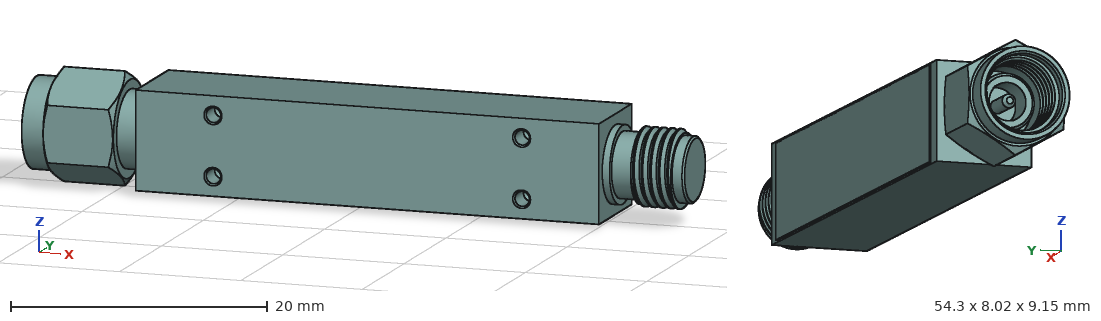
import cadquery as cq
import math


NUT_COLLAR_END = 1.85
NUT_END = 7.65
HOUSING_START = 9.5
HOUSING_END = 47.65
FLANGE_END = 48.25
THREAD_START = 49.9
THREAD_END = 53.25
OVERALL_LENGTH = 54.25

HOUSING_DEPTH = 7.85
HOUSING_HEIGHT = 8.0
HOUSING_CENTER_X = (HOUSING_START + HOUSING_END) / 2
LABEL_INSET = 1.3
LABEL_THICKNESS = 0.135
LABEL_EDGE_MARGIN = 0.15

HOLE_DIAMETER = 1.2
HOLE_RIM_DIAMETER = 1.45
HOLE_DEPTH = 2.15
HOLE_TIP_ANGLE = 118.0
HOLE_SPACING_Z = 4.9
HOLE_SPACING_X = 25.45

THREAD_PITCH = 0.7
THREAD_ROOT_RADIUS = 2.8
THREAD_CREST_RADIUS = 3.15
THREAD_BASE_WIDTH = 0.68
THREAD_OVERLAP = 0.05
JACK_THREAD_TURNS = 6
NUT_THREAD_TURNS = 5

HEX_ACROSS_CORNERS = 9.15
HEX_CHAMFER_ANGLE = 30.0
HEX_FACE_RADIUS = 3.9
NUT_COLLAR_RADIUS = 3.7
NUT_MOUTH_RADIUS = 3.15
NUT_MOUTH_CHAMFER = 0.15
NUT_MOUTH_DEPTH = 0.9
NUT_BORE_END = 6.5

NECK_RADIUS = 3.15
SLEEVE_RADIUS = 2.3
SLEEVE_BORE_RADIUS = 1.5
SLEEVE_START = 4.05
SLEEVE_CHAMFER = 0.2
SLEEVE_BORE_END = 6.5
PIN_RADIUS = 0.55
PIN_START = 3.5
PIN_CHAMFER = 0.25

BARREL_RADIUS = 2.65
BARREL_CHAMFER = 0.15


def rod(start, end, radius):
    """Cylinder on the X axis between two stations."""
    return cq.Workplane("YZ").workplane(offset=start).circle(radius).extrude(end - start)


def revolved(points):
    """Solid of revolution about X from (station, radius) points."""
    return cq.Workplane("XY").polyline(points).close().revolve(360, (0, 0, 0), (1, 0, 0))


def helical_cutter(base_radius, tip_radius, start, turns):
    """Right-handed helix about X with a V section that narrows from the base radius to the tip radius."""
    half_base = THREAD_BASE_WIDTH / 2
    helix = cq.Wire.makeHelix(THREAD_PITCH, THREAD_PITCH * turns, base_radius)
    cutter = (
        cq.Workplane("XZ")
        .polyline([
            (base_radius, -half_base),
            (tip_radius, 0),
            (base_radius, half_base),
        ])
        .close()
        .sweep(cq.Workplane(helix), isFrenet=True)
    )
    return cutter.rotate((0, 0, 0), (1, 1, 1), 120).translate((start, 0, 0))


def make_housing():
    length = HOUSING_END - HOUSING_START
    block = cq.Workplane("XY").box(length, HOUSING_DEPTH, HOUSING_HEIGHT).translate((HOUSING_CENTER_X, 0, 0))
    radius = HOLE_DIAMETER / 2
    rim_radius = HOLE_RIM_DIAMETER / 2
    tip_depth = HOLE_DEPTH + radius / math.tan(math.radians(HOLE_TIP_ANGLE / 2))
    drill = (
        cq.Workplane("XY")
        .polyline([
            (0, 0),
            (rim_radius, 0),
            (radius, rim_radius - radius),
            (radius, HOLE_DEPTH),
            (0, tip_depth),
        ])
        .close()
        .revolve(360, (0, 0, 0), (0, 1, 0))
        .translate((HOUSING_CENTER_X, -HOUSING_DEPTH / 2, 0))
    )
    for side_x in (-1, 1):
        for side_z in (-1, 1):
            offset = (side_x * HOLE_SPACING_X / 2, 0, side_z * HOLE_SPACING_Z / 2)
            block = block.cut(drill.translate(offset))
    return block


def make_label():
    length = HOUSING_END - HOUSING_START - 2 * LABEL_INSET
    height = HOUSING_HEIGHT - 2 * LABEL_EDGE_MARGIN
    center_y = (HOUSING_DEPTH + LABEL_THICKNESS) / 2
    return cq.Workplane("XY").box(length, LABEL_THICKNESS, height).translate((HOUSING_CENTER_X, center_y, 0))


def make_nut():
    corner_radius = HEX_ACROSS_CORNERS / 2
    hexagon = (
        cq.Workplane("YZ")
        .workplane(offset=NUT_COLLAR_END)
        .polygon(6, HEX_ACROSS_CORNERS)
        .extrude(NUT_END - NUT_COLLAR_END)
        .rotate((0, 0, 0), (1, 0, 0), 90)
    )
    chamfer_length = (corner_radius - HEX_FACE_RADIUS) * math.tan(math.radians(HEX_CHAMFER_ANGLE))
    chamfer_envelope = revolved([
        (NUT_COLLAR_END, 0),
        (NUT_COLLAR_END, HEX_FACE_RADIUS),
        (NUT_COLLAR_END + chamfer_length, corner_radius),
        (NUT_END - chamfer_length, corner_radius),
        (NUT_END, HEX_FACE_RADIUS),
        (NUT_END, 0),
    ])
    bore = revolved([
        (0, 0),
        (0, NUT_MOUTH_RADIUS + NUT_MOUTH_CHAMFER),
        (NUT_MOUTH_CHAMFER, NUT_MOUTH_RADIUS),
        (NUT_MOUTH_DEPTH, NUT_MOUTH_RADIUS),
        (NUT_MOUTH_DEPTH, THREAD_ROOT_RADIUS),
        (NUT_BORE_END, THREAD_ROOT_RADIUS),
        (NUT_BORE_END, SLEEVE_RADIUS),
        (NUT_END, SLEEVE_RADIUS),
        (NUT_END, 0),
    ])
    groove = helical_cutter(
        THREAD_ROOT_RADIUS - THREAD_OVERLAP, THREAD_CREST_RADIUS, NUT_MOUTH_DEPTH, NUT_THREAD_TURNS
    )
    collar = rod(0, NUT_COLLAR_END, NUT_COLLAR_RADIUS)
    return hexagon.intersect(chamfer_envelope).union(collar).cut(bore).cut(groove)


def make_plug():
    return revolved([
        (PIN_START, 0),
        (PIN_START, PIN_RADIUS - PIN_CHAMFER),
        (PIN_START + PIN_CHAMFER, PIN_RADIUS),
        (SLEEVE_BORE_END, PIN_RADIUS),
        (SLEEVE_BORE_END, SLEEVE_BORE_RADIUS),
        (SLEEVE_START, SLEEVE_BORE_RADIUS),
        (SLEEVE_START, SLEEVE_RADIUS - SLEEVE_CHAMFER),
        (SLEEVE_START + SLEEVE_CHAMFER, SLEEVE_RADIUS),
        (NUT_END, SLEEVE_RADIUS),
        (NUT_END, NECK_RADIUS),
        (HOUSING_START, NECK_RADIUS),
        (HOUSING_START, 0),
    ])


def make_jack():
    flange = rod(HOUSING_END, FLANGE_END, NECK_RADIUS)
    barrel = rod(FLANGE_END, OVERALL_LENGTH, BARREL_RADIUS).faces(">X").chamfer(BARREL_CHAMFER)
    groove = helical_cutter(
        THREAD_CREST_RADIUS + THREAD_OVERLAP,
        THREAD_ROOT_RADIUS,
        THREAD_START - THREAD_PITCH / 2,
        JACK_THREAD_TURNS,
    )
    thread = rod(THREAD_START, THREAD_END, THREAD_CREST_RADIUS).cut(groove)
    return flange.union(barrel).union(thread)


housing = make_housing()
label = make_label()
nut = make_nut()
plug = make_plug()
jack = make_jack()

result = cq.Compound.makeCompound([housing.val(), label.val(), nut.val(), plug.val(), jack.val()])